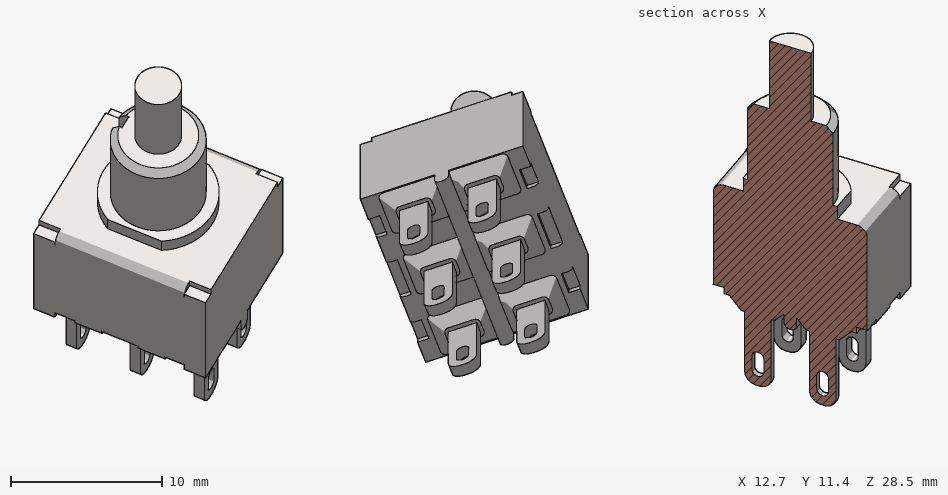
import cadquery as cq

BODY_LENGTH = 12.7
BODY_WIDTH = 11.43
BODY_HEIGHT = 8.9

FOLD_LENGTH = 9.55
FOLD_RADIUS = 0.8
REBATE_DEPTH = 0.8
REBATE_HEIGHT = 0.5

TAB_LENGTH = 1.97
TAB_SPACING = 4.66
TAB_RADIUS = 0.42

FLANGE_DIAMETER = 8.05
FLANGE_ACROSS_FLATS = 7.0
FLANGE_HEIGHT = 1.03
BUSHING_DIAMETER = 6.35
BUSHING_HEIGHT = 6.35
BUSHING_CHAMFER = 0.5
KEYWAY_WIDTH = 1.0
KEYWAY_DEPTH = 0.75
PLUNGER_DIAMETER = 3.1
PLUNGER_HEIGHT = 5.54

RIB_WIDTH = 0.97
RIB_HEIGHT = 1.32

TERMINAL_COLUMNS = 3
TERMINAL_ROWS = 2
TERMINAL_PITCH_X = 4.72
TERMINAL_PITCH_Y = 4.8
TERMINAL_THICKNESS = 0.78
TERMINAL_WIDTH = 2.0
TERMINAL_LENGTH = 6.7
TERMINAL_TIP_RADIUS = 0.9
EYELET_WIDTH = 0.85
EYELET_LENGTH = 1.93
EYELET_TIP_DISTANCE = 1.77
PEDESTAL_LENGTH = 3.1
PEDESTAL_WIDTH = 4.25
PEDESTAL_HEIGHT = 0.96
PEDESTAL_TAPER = 0.88
PEDESTAL_CORNER_RADIUS = 0.35

BODY_BOTTOM = -BODY_HEIGHT
SIDE_Y = BODY_WIDTH / 2


def bar_along_x(profile, length):
    """Extrude a closed YZ profile symmetrically along X."""
    return profile.extrude(length / 2, both=True)


def make_body():
    body = cq.Workplane("XY").box(BODY_LENGTH, BODY_WIDTH, BODY_HEIGHT, centered=(True, True, False))
    body = body.translate((0, 0, BODY_BOTTOM))
    end_length = (BODY_LENGTH - FOLD_LENGTH) / 2
    end_x = (BODY_LENGTH - end_length) / 2

    body = body.edges("|X and >Z").fillet(FOLD_RADIUS)
    corner_fill = cq.Workplane("XY").box(end_length, REBATE_DEPTH, FOLD_RADIUS - REBATE_HEIGHT)
    corner_step = cq.Workplane("XY").box(end_length, REBATE_DEPTH, REBATE_HEIGHT)
    rebate_y = SIDE_Y - REBATE_DEPTH / 2
    fill_z = -(FOLD_RADIUS + REBATE_HEIGHT) / 2
    for x in (-end_x, end_x):
        for y in (-rebate_y, rebate_y):
            body = body.cut(corner_step.translate((x, y, -REBATE_HEIGHT / 2)))
            body = body.union(corner_fill.translate((x, y, fill_z)))

    recess = cq.Workplane("XY").box(FOLD_LENGTH, REBATE_DEPTH, REBATE_HEIGHT)
    for y in (-rebate_y, rebate_y):
        body = body.cut(recess.translate((0, y, BODY_BOTTOM + REBATE_HEIGHT / 2)))
    return body


def make_tabs():
    """Tabs that bridge the bottom recesses, each rounded along its outer lower edge."""
    tab = cq.Workplane("XY").box(TAB_LENGTH, REBATE_DEPTH, REBATE_HEIGHT)
    tab = tab.edges("|X and <Y and <Z").fillet(TAB_RADIUS)
    tab = tab.translate((0, REBATE_DEPTH / 2 - SIDE_Y, BODY_BOTTOM + REBATE_HEIGHT / 2))
    front_tabs = tab.translate((-TAB_SPACING / 2, 0, 0)).union(tab.translate((TAB_SPACING / 2, 0, 0)))
    return front_tabs.union(front_tabs.mirror("XZ"))


def make_actuator():
    """Flange with two flats, keyed bushing and plunger."""
    flange = cq.Workplane("XY").circle(FLANGE_DIAMETER / 2).extrude(FLANGE_HEIGHT)
    flats = cq.Workplane("XY").rect(FLANGE_DIAMETER, FLANGE_ACROSS_FLATS).extrude(FLANGE_HEIGHT)
    flange = flange.intersect(flats)

    bushing = cq.Workplane("XY").circle(BUSHING_DIAMETER / 2).extrude(BUSHING_HEIGHT)
    bushing = bushing.faces(">Z").chamfer(BUSHING_CHAMFER)
    keyway = cq.Workplane("XY").rect(2 * KEYWAY_DEPTH, KEYWAY_WIDTH).extrude(BUSHING_HEIGHT)
    bushing = bushing.cut(keyway.translate((-BUSHING_DIAMETER / 2, 0, 0)))

    plunger = cq.Workplane("XY").circle(PLUNGER_DIAMETER / 2).extrude(PLUNGER_HEIGHT)
    actuator = flange.union(bushing.translate((0, 0, FLANGE_HEIGHT)))
    return actuator.union(plunger.translate((0, 0, FLANGE_HEIGHT + BUSHING_HEIGHT)))


def make_rib():
    radius = RIB_WIDTH / 2
    rib_end = BODY_BOTTOM - RIB_HEIGHT
    profile = (
        cq.Workplane("YZ")
        .moveTo(-radius, BODY_BOTTOM)
        .lineTo(-radius, rib_end + radius)
        .threePointArc((0, rib_end), (radius, rib_end + radius))
        .lineTo(radius, BODY_BOTTOM)
        .close()
    )
    return bar_along_x(profile, BODY_LENGTH)


def make_pedestal():
    """Rounded-corner block that tapers away from the underside of the body."""
    root = cq.Sketch().rect(PEDESTAL_LENGTH, PEDESTAL_WIDTH)
    root = root.vertices().fillet(PEDESTAL_CORNER_RADIUS)
    end = cq.Sketch().rect(PEDESTAL_LENGTH - 2 * PEDESTAL_TAPER, PEDESTAL_WIDTH - 2 * PEDESTAL_TAPER)
    end = end.vertices().fillet(PEDESTAL_CORNER_RADIUS)
    end = end.moved(cq.Location(cq.Vector(0, 0, -PEDESTAL_HEIGHT)))
    return cq.Workplane("XY").placeSketch(root, end).loft()


def make_terminal():
    """Flat blade with rounded tip corners and an upright eyelet, hanging from Z = 0."""
    blade = cq.Workplane("XY").rect(TERMINAL_THICKNESS, TERMINAL_WIDTH).extrude(-TERMINAL_LENGTH)
    blade = blade.edges("|X and <Z").fillet(TERMINAL_TIP_RADIUS)
    eyelet = (
        cq.Workplane("YZ")
        .center(0, EYELET_TIP_DISTANCE - TERMINAL_LENGTH)
        .slot2D(EYELET_LENGTH, EYELET_WIDTH, 90)
    )
    return blade.cut(bar_along_x(eyelet, TERMINAL_THICKNESS))


result = make_body().union(make_tabs()).union(make_actuator()).union(make_rib())

contact = make_pedestal().union(make_terminal())
for column in range(TERMINAL_COLUMNS):
    for row in range(TERMINAL_ROWS):
        contact_x = (column - (TERMINAL_COLUMNS - 1) / 2) * TERMINAL_PITCH_X
        contact_y = (row - (TERMINAL_ROWS - 1) / 2) * TERMINAL_PITCH_Y
        result = result.union(contact.translate((contact_x, contact_y, BODY_BOTTOM)))